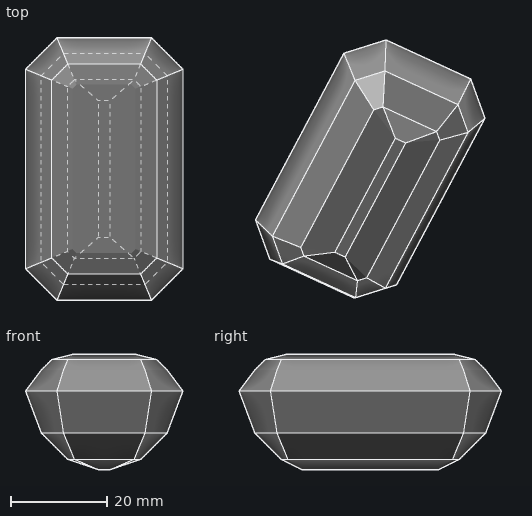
import math

import cadquery as cq

GIRDLE_HALF_WIDTH = 16.4
GIRDLE_HALF_LENGTH = 27.3
GIRDLE_CORNER_CUT = 6.55

LEVELS = [
    (2.2, 8.75),
    (7.65, 3.3),
    (16.4, 0),
    (20.75, 3.3),
    (22.95, 5.45),
    (24.05, 9.85),
]

KEEL_HALF_WIDTH = 1.2
KEEL_HALF_LENGTH = 14.2

CUT_LOSS_PER_INSET = 2 - math.sqrt(2)


def ring(height, half_width, half_length, cut):
    """Eight corner points, counterclockwise; a zero cut makes them meet in pairs."""
    inner_x = half_width - cut
    inner_y = half_length - cut
    corners = [
        (half_width, -inner_y),
        (half_width, inner_y),
        (inner_x, half_length),
        (-inner_x, half_length),
        (-half_width, inner_y),
        (-half_width, -inner_y),
        (-inner_x, -half_length),
        (inner_x, -half_length),
    ]
    return [cq.Vector(x, y, height) for x, y in corners]


def inset_ring(height, inset):
    """Girdle octagon with all eight sides moved inwards by the same inset."""
    return ring(
        height,
        GIRDLE_HALF_WIDTH - inset,
        GIRDLE_HALF_LENGTH - inset,
        GIRDLE_CORNER_CUT - CUT_LOSS_PER_INSET * inset,
    )


def facet(points):
    """Flat face through the points, with coinciding corners merged."""
    distinct = []
    for point in points:
        if point not in distinct:
            distinct.append(point)
    return cq.Face.makeFromWires(cq.Wire.makePolygon(distinct, close=True))


def side_facets(lower, upper):
    """Sloping facets between two neighbouring rings."""
    faces = []
    for i in range(len(lower)):
        j = (i + 1) % len(lower)
        faces.append(facet([lower[i], lower[j], upper[j], upper[i]]))
    return faces


keel = ring(0, KEEL_HALF_WIDTH, KEEL_HALF_LENGTH, 0)
rings = [keel] + [inset_ring(height, inset) for height, inset in LEVELS]

facets = [facet(rings[0][::-1]), facet(rings[-1])]
for lower_ring, upper_ring in zip(rings, rings[1:]):
    facets += side_facets(lower_ring, upper_ring)

gem = cq.Solid.makeSolid(cq.Shell.makeShell(facets))
result = cq.Workplane("XY").newObject([gem])